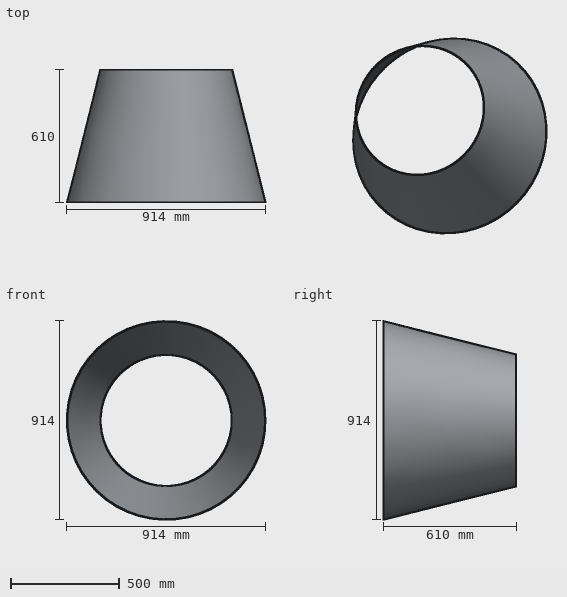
import cadquery as cq

large_diameter = 914.0
small_diameter = 608.0
length = 610.0
wall = 4.0

large_radius = large_diameter / 2
small_radius = small_diameter / 2
front_y = -length / 2
back_y = length / 2

wall_section = cq.Workplane("XY").polyline([
    (large_radius - wall, front_y),
    (large_radius, front_y),
    (small_radius, back_y),
    (small_radius - wall, back_y),
]).close()

result = wall_section.revolve(360, (0, 0, 0), (0, 1, 0))